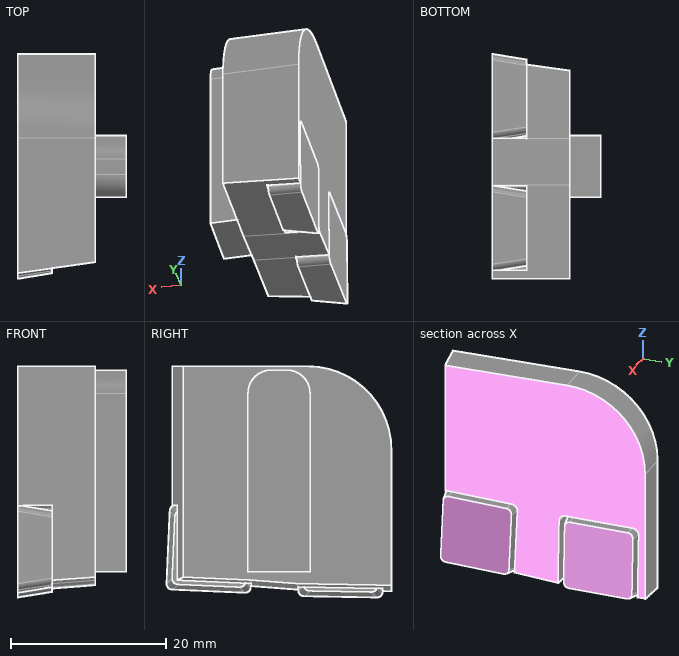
import cadquery as cq
import math


holder_thickness = 10.0
holder_length = 29.0
holder_height = 29.0
block_length = 28.25
back_y = holder_length / 2
front_y = back_y - block_length
back_corner_radius = 10.8
front_relief = 8.0
base_relief = 4.5

key_projection = 4.0
key_width = 8.0
key_height = 26.0
key_corner_radius = 3.0
key_top_gap = 0.5
key_top_z = holder_height - key_top_gap

insert_width = 10.9
insert_thickness = 4.45
insert_corner_radius = 0.8
insert_relief = 9.0
rear_insert_tilt = 1.0
front_insert_tilt = 2.5

corner_centre = insert_width / 2 - insert_corner_radius


def insert_reach(tilt):
    """Distance from the centre of a tilted insert to its outermost point along Y or Z."""
    angle = math.radians(tilt)
    return corner_centre * (math.cos(angle) + math.sin(angle)) + insert_corner_radius


insert_overhang = 0.8
rear_insert_setback = 6.5
front_insert_depth = 23.54
rear_insert_y = back_y - rear_insert_setback
rear_insert_z = insert_reach(rear_insert_tilt) - insert_overhang
front_insert_y = insert_reach(front_insert_tilt) - holder_length / 2
front_insert_z = holder_height - front_insert_depth

inserts = [
    (rear_insert_y, rear_insert_z, rear_insert_tilt),
    (front_insert_y, front_insert_z, front_insert_tilt),
]

rear_stretch_length = 12.15
step_length = 6.0
step_rise = 0.46
rear_stretch_y = back_y - rear_stretch_length
rear_stretch_z = rear_stretch_length * math.tan(math.radians(rear_insert_tilt))
step_y = rear_stretch_y - step_length
step_z = rear_stretch_z + step_rise

cutter_margin = 5.0


def make_block():
    block = cq.Workplane("XY").box(
        holder_thickness, block_length, holder_height, centered=False
    ).translate((0, front_y, 0))
    return block.edges("|X and >Y and >Z").fillet(back_corner_radius)


def make_base_cutter():
    """Everything below the bent base line, swept along the base relief direction."""
    beyond_y = front_y - cutter_margin
    beyond_z = step_z + (step_y - beyond_y) * math.tan(math.radians(front_insert_tilt))
    behind_y = back_y + cutter_margin
    behind_z = -cutter_margin * math.tan(math.radians(rear_insert_tilt))
    outline = cq.Wire.makePolygon(
        [
            cq.Vector(0, behind_y, behind_z),
            cq.Vector(0, rear_stretch_y, rear_stretch_z),
            cq.Vector(0, step_y, step_z),
            cq.Vector(0, beyond_y, beyond_z),
            cq.Vector(0, beyond_y, -cutter_margin),
            cq.Vector(0, behind_y, -cutter_margin),
        ],
        close=True,
    )
    base_rise = holder_thickness * math.tan(math.radians(base_relief))
    return cq.Solid.extrudeLinear(outline, [], cq.Vector(holder_thickness, 0, base_rise))


def make_front_cutter():
    """Wedge that leans the front face back with X."""
    setback = holder_thickness * math.tan(math.radians(front_relief))
    return (
        cq.Workplane("XY")
        .moveTo(0, front_y)
        .lineTo(holder_thickness, front_y + setback)
        .lineTo(holder_thickness, front_y)
        .close()
        .extrude(holder_height)
    )


def make_key():
    key = cq.Workplane("XY").box(
        key_projection, key_width, key_height, centered=False
    ).translate((holder_thickness, -key_width / 2, key_top_z - key_height))
    return key.edges("|X and >Z").fillet(key_corner_radius)


def make_insert(centre_y, centre_z, tilt):
    """Square insert, narrowing with X, with one corner radius along its sloping edges."""
    insert = (
        cq.Workplane("YZ")
        .rect(insert_width, insert_width)
        .extrude(insert_thickness, taper=insert_relief)
        .edges("not(|Y or |Z)")
        .fillet(insert_corner_radius)
    )
    return insert.rotate((0, 0, 0), (1, 0, 0), -tilt).translate((0, centre_y, centre_z))


def make_pocket(insert):
    """Straight-walled pocket with the outline of the insert's large face."""
    outline = insert.faces("<X").val().outerWire()
    return cq.Solid.extrudeLinear(outline, [], cq.Vector(insert_thickness, 0, 0))


holder = make_block().cut(make_front_cutter())
holder = holder.cut(cq.Workplane(make_base_cutter())).union(make_key())
insert_bodies = []
for centre_y, centre_z, tilt in inserts:
    insert = make_insert(centre_y, centre_z, tilt)
    holder = holder.cut(cq.Workplane(make_pocket(insert)))
    insert_bodies.append(insert.solids().val())

result = cq.Compound.makeCompound([holder.solids().val(), *insert_bodies])